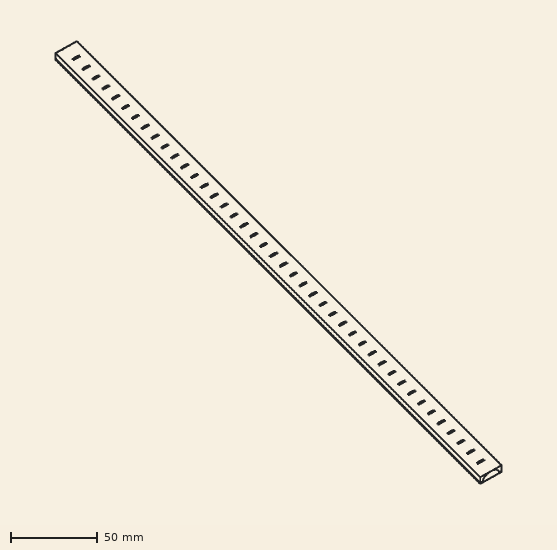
import cadquery as cq
import math

overall_length = 411.0
run_per_rise = 40.5
roof_thickness = 0.1
side_wall = 0.25
arch_height = 5.8
arch_foot_width = 12.5
flange_width = 1.3
flange_thickness = 0.58
groove_count = 42
groove_width = 1.03
groove_depth = 0.5
end_margin = 10.0

core_width = arch_foot_width + 2 * flange_width
bar_width = core_width + 2 * side_wall
bar_height = arch_height + roof_thickness
tilt = math.atan(1 / run_per_rise)
bar_length = (overall_length - bar_width * math.sin(tilt)) / math.cos(tilt)
groove_pitch = (bar_length - 2 * end_margin) / (groove_count - 1)

arch_rise = arch_height - flange_thickness
arch_radius = ((arch_foot_width / 2) ** 2 + arch_rise**2) / (2 * arch_rise)
arch_center_z = arch_height - arch_radius


def core_blank():
    """Solid hat section running the whole bar: two flat flanges and a round arch."""
    half_core = core_width / 2
    half_foot = arch_foot_width / 2
    return (
        cq.Workplane("YZ", origin=(-bar_length / 2, 0, 0))
        .moveTo(-half_core, 0)
        .lineTo(half_core, 0)
        .lineTo(half_core, flange_thickness)
        .lineTo(half_foot, flange_thickness)
        .threePointArc((0, arch_height), (-half_foot, flange_thickness))
        .lineTo(-half_core, flange_thickness)
        .close()
        .extrude(bar_length)
    )


def groove_cutter():
    """Ring segment above the flanges that cuts one shallow groove over the arch."""
    ring = (
        cq.Workplane("YZ", origin=(-groove_width / 2, 0, arch_center_z))
        .circle(arch_radius + groove_depth)
        .circle(arch_radius - groove_depth)
        .extrude(groove_width)
    )
    above_flanges = (
        cq.Workplane("XY", origin=(0, 0, flange_thickness))
        .box(2 * groove_width, 2 * bar_width, 2 * bar_height, centered=(True, True, False))
    )
    return ring.intersect(above_flanges).val()


def make_core():
    """Hat-shaped core with evenly spaced grooves across its arch."""
    cutter = groove_cutter()
    first_groove_x = end_margin - bar_length / 2
    cutters = []
    for index in range(groove_count):
        groove_x = first_groove_x + index * groove_pitch
        cutters.append(cutter.translate(cq.Vector(groove_x, 0, 0)))
    return cq.Workplane(core_blank().val().cut(*cutters))


def make_cover():
    """Rectangular bar with a hat-shaped channel that is open underneath and at both ends."""
    bar = cq.Workplane("XY").box(bar_length, bar_width, bar_height, centered=(True, True, False))
    return bar.cut(core_blank())


def tilted(body):
    """Turn a body lying along X to the bar's direction in the XY plane."""
    return body.rotate((0, 0, 0), (0, 0, 1), math.degrees(tilt))


cover = tilted(make_cover())
core = tilted(make_core())

result = cq.Compound.makeCompound([cover.val(), core.val()])